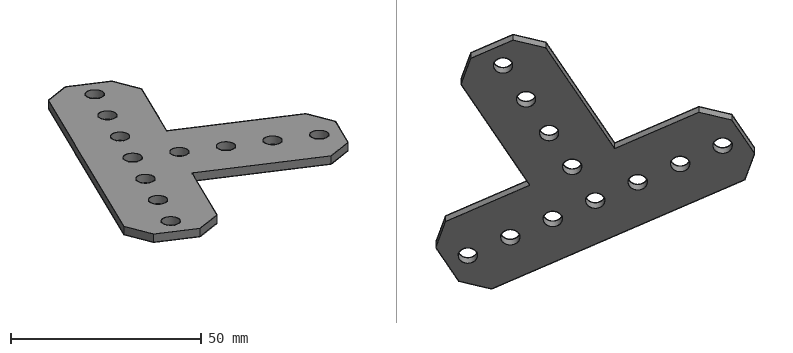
import cadquery as cq

bar_length = 88.4
total_height = 69.6
arm_width = 25.4
thickness = 2.5
corner_cut = 6.4
hole_diameter = 5.0
bar_hole_count = 7
stem_hole_count = 4

half_width = arm_width / 2
hole_pitch = half_width
stem_length = total_height - half_width


def make_bar():
    """Crossbar along X with all four corners cut off."""
    bar = cq.Workplane("XY").rect(bar_length, arm_width).extrude(thickness)
    return bar.edges("|Z").chamfer(corner_cut)


def make_stem():
    """Stem along +Y with its two outer corners cut off."""
    stem = cq.Workplane("XY").center(0, stem_length / 2).rect(arm_width, stem_length).extrude(thickness)
    return stem.faces(">Y").edges("|Z").chamfer(corner_cut)


first_bar_hole = -hole_pitch * (bar_hole_count - 1) / 2
bar_holes = [(first_bar_hole + i * hole_pitch, 0) for i in range(bar_hole_count)]
stem_holes = [(0, (i + 1) * hole_pitch) for i in range(stem_hole_count)]

holes = (
    cq.Workplane("XY")
    .pushPoints(bar_holes + stem_holes)
    .circle(hole_diameter / 2)
    .extrude(thickness)
)

result = make_bar().union(make_stem()).clean().cut(holes)